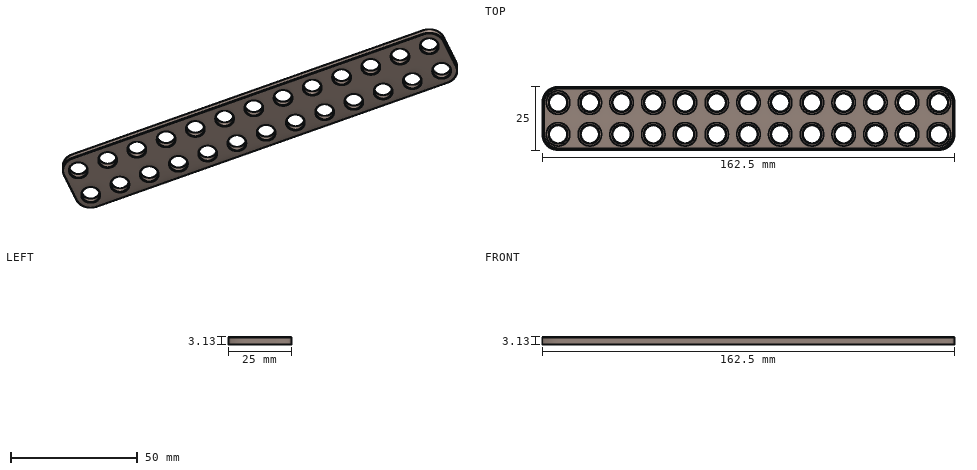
import cadquery as cq

columns = 13
rows = 2
length = 162.5
pitch = length / columns
width = rows * pitch
thickness = pitch / 4
corner_radius = pitch / 2

bore_diameter = 7.0
chamfer = 0.3

recess_depth = 0.2
border_width = 0.8
ring_diameter = 9.3

top_z = thickness / 2


def rounded_slab(inset, height):
    """Slab centred on the origin whose outline is the plate outline moved inward by inset."""
    slab = cq.Workplane("XY").box(length - 2 * inset, width - 2 * inset, height)
    return slab.edges("|Z").fillet(corner_radius - inset)


def at_hole_centres(shape):
    """Copies of a shape at every point of the hole grid."""
    grid = cq.Workplane("XY").rarray(pitch, pitch, columns, rows)
    return grid.eachpoint(lambda place: shape.moved(place))


def make_bore():
    """Straight through bore with a chamfered mouth on both faces."""
    bore_radius = bore_diameter / 2
    mouth_radius = bore_radius + chamfer
    chamfer_z = top_z - chamfer
    half_section = (
        cq.Workplane("XZ")
        .moveTo(0, -top_z)
        .lineTo(mouth_radius, -top_z)
        .lineTo(bore_radius, -chamfer_z)
        .lineTo(bore_radius, chamfer_z)
        .lineTo(mouth_radius, top_z)
        .lineTo(0, top_z)
        .close()
    )
    return half_section.revolve(360, (0, 0, 0), (0, 1, 0)).val()


def make_recess():
    """Recessed field inside the border, with the rings around the bores left standing."""
    field_z = top_z - recess_depth / 2
    field = rounded_slab(border_width, recess_depth).translate((0, 0, field_z))
    ring = cq.Workplane("XY").circle(ring_diameter / 2).extrude(top_z).val()
    return field.cut(at_hole_centres(ring))


plate = rounded_slab(0, thickness).faces("<Z or >Z").chamfer(chamfer)
result = plate.cut(at_hole_centres(make_bore())).cut(make_recess())